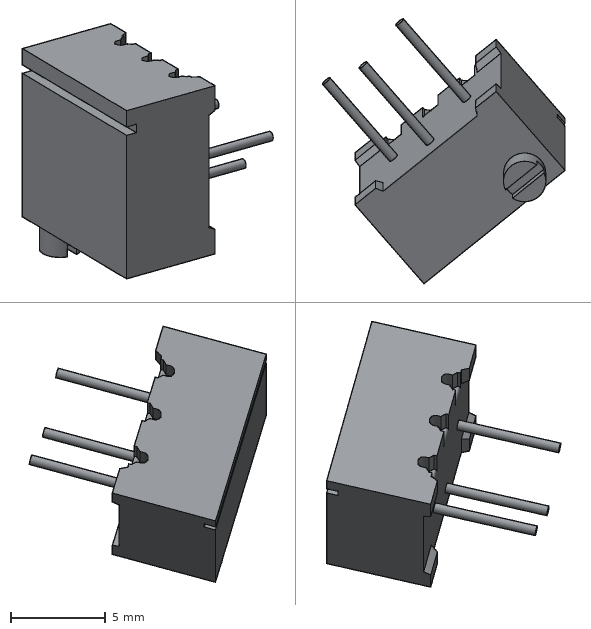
import cadquery as cq

body_width = 9.78
body_height = 9.81
body_depth = 5.71
overall_depth = 10.9
overall_height = 11.35

recess_depth = 0.39
foot_side_at_tip = 1.43
foot_side_at_root = 1.63
recess_face_y = body_depth - recess_depth

groove_top_gap = 0.95
groove_height = 0.49
groove_depth = 0.62

pin_pitch = 2.54
pin_diameter = 0.53
pin_embed = 0.11
outer_pin_z = 4.68
middle_pin_z = outer_pin_z - pin_pitch
pin_places = [
    (body_width / 2 - pin_pitch, outer_pin_z),
    (body_width / 2, middle_pin_z),
    (body_width / 2 + pin_pitch, outer_pin_z),
]

notch_mouth_width = 1.04
notch_throat_width = 0.61
notch_mouth_depth = 0.16
notch_taper_depth = 0.37
notch_depth = 0.91
notch_height = foot_side_at_root
notch_floor_radius = 0.15

screw_diameter = 2.25
screw_x = 1.75
screw_y = 1.26
screw_length = overall_height - body_height
screw_slot_width = 0.59
screw_slot_depth = 0.68


def recess_channel(plane, span, length):
    """Tapered channel as wide as span, on a plane whose local Y runs along the depth."""
    return (
        cq.Workplane(plane)
        .polyline([
            (foot_side_at_tip, body_depth),
            (foot_side_at_root, recess_face_y),
            (span - foot_side_at_root, recess_face_y),
            (span - foot_side_at_tip, body_depth),
        ])
        .close()
        .extrude(length)
    )


def make_notch(center_x):
    """Funnel-mouthed notch with a round end and a rounded outer edge on its floor."""
    mouth = notch_mouth_width / 2
    throat = notch_throat_width / 2
    radius = notch_floor_radius
    floor_z = body_height - notch_height
    outline = (
        cq.Workplane("XY", origin=(center_x, recess_face_y, floor_z))
        .moveTo(-mouth, 0)
        .lineTo(-mouth, -notch_mouth_depth)
        .lineTo(-throat, -notch_taper_depth)
        .lineTo(-throat, throat - notch_depth)
        .threePointArc((0, -notch_depth), (throat, throat - notch_depth))
        .lineTo(throat, -notch_taper_depth)
        .lineTo(mouth, -notch_mouth_depth)
        .lineTo(mouth, 0)
        .close()
    )
    rounding = (
        cq.Workplane("YZ", origin=(center_x - mouth, recess_face_y, floor_z))
        .moveTo(-radius, 0)
        .radiusArc((0, -radius), radius)
        .lineTo(0, 0)
        .close()
        .extrude(notch_mouth_width)
    )
    return outline.extrude(notch_height).union(rounding)


def make_pin(center_x, center_z):
    """Round pin running back from just inside the recessed face."""
    start_y = recess_face_y - pin_embed
    return (
        cq.Workplane("XZ", origin=(center_x, start_y, center_z))
        .circle(pin_diameter / 2)
        .extrude(start_y - overall_depth)
    )


def make_screw():
    """Screw head with a driver slot along X."""
    head = (
        cq.Workplane("XY", origin=(screw_x, screw_y, 0))
        .circle(screw_diameter / 2)
        .extrude(-screw_length)
    )
    slot = (
        cq.Workplane("XY", origin=(screw_x, screw_y, -screw_length))
        .rect(screw_diameter, screw_slot_width)
        .extrude(screw_slot_depth)
    )
    return head.cut(slot)


result = cq.Workplane("XY").box(body_width, body_depth, body_height, centered=False)
result = result.cut(recess_channel("XY", body_width, body_height))
result = result.cut(recess_channel("ZY", body_height, -body_width))

groove_bottom_z = body_height - groove_top_gap - groove_height
groove = cq.Workplane("XY", origin=(0, 0, groove_bottom_z)).box(
    body_width, groove_depth, groove_height, centered=False
)
result = result.cut(groove)

for pin_x, pin_z in pin_places:
    result = result.cut(make_notch(pin_x))
    result = result.union(make_pin(pin_x, pin_z))

result = result.union(make_screw())